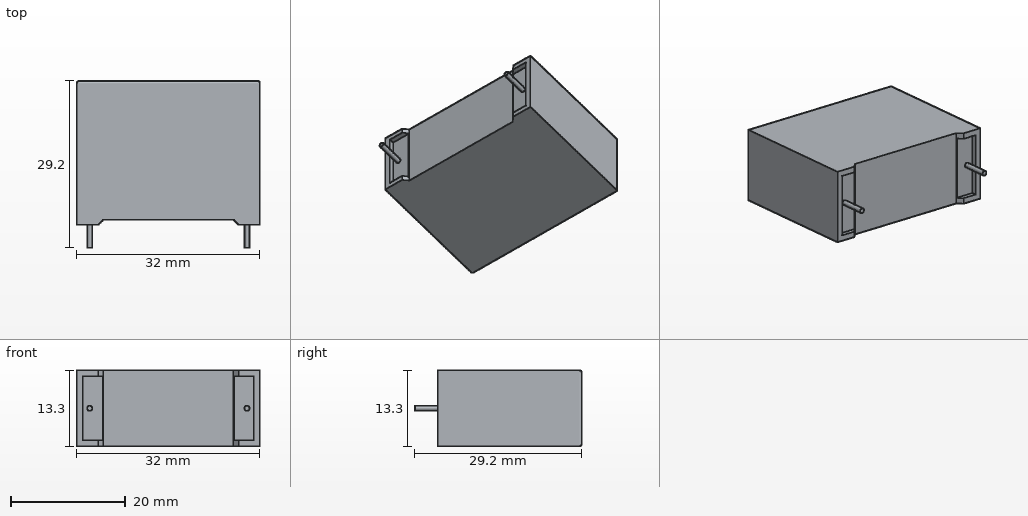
import cadquery as cq

housing_width = 32.0
housing_depth = 25.2
housing_height = 13.3
back_fillet = 0.48

notch_depth = 0.9
notch_floor_half_width = 11.35
notch_mouth_half_width = notch_floor_half_width + notch_depth

recess_wall = 1.05
recess_outer_x = housing_width / 2 - recess_wall
recess_inner_x = 11.5
recess_width = recess_outer_x - recess_inner_x
recess_centre_x = (recess_outer_x + recess_inner_x) / 2
recess_height = housing_height - 2 * recess_wall
recess_depth = notch_depth

lead_diameter = 0.9
lead_pitch = 27.45
lead_protrusion = 4.0
lead_length = recess_depth + lead_protrusion

sides = (-1, 1)


def make_block():
    """Solid block with the edges of its back face rounded."""
    block = cq.Workplane("XY").box(
        housing_width, housing_depth, housing_height, centered=(True, False, True)
    )
    return block.faces(">Y").edges().fillet(back_fillet)


def make_notch():
    """Trapezoidal prism that separates the two feet over the full height."""
    return (
        cq.Workplane("XY")
        .polyline([
            (-notch_mouth_half_width, 0),
            (-notch_floor_half_width, notch_depth),
            (notch_floor_half_width, notch_depth),
            (notch_mouth_half_width, 0),
        ])
        .close()
        .extrude(housing_height / 2, both=True)
    )


def make_recess(side):
    """Rectangular pocket in the foot on the given side (-1 or 1)."""
    return (
        cq.Workplane("XY", origin=(side * recess_centre_x, 0, 0))
        .box(recess_width, recess_depth, recess_height, centered=(True, False, True))
    )


def make_housing():
    """Block with the notch and one lead recess per foot cut away."""
    housing = make_block().cut(make_notch())
    for side in sides:
        housing = housing.cut(make_recess(side))
    return housing


def make_lead(side):
    """Straight round lead standing on the recess floor and running toward -Y."""
    return (
        cq.Workplane("XZ", origin=(side * lead_pitch / 2, recess_depth, 0))
        .circle(lead_diameter / 2)
        .extrude(lead_length)
    )


housing = make_housing()
leads = [make_lead(side) for side in sides]

result = cq.Compound.makeCompound([housing.val(), *[lead.val() for lead in leads]])